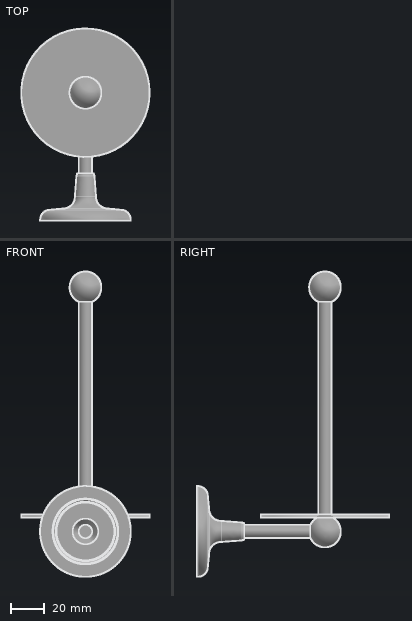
import cadquery as cq

disc_radius = 38.1
wall_offset = 114 - disc_radius
rod_radius = 4.0
ball_radius = 9.5
flange_radius = 27.0
upper_ball_height = 181 - flange_radius - ball_radius

disc_bottom = 8.1
disc_thickness = 2.0

rim_height = 0.7
rim_round_end = 6.5
rim_round_mid = (25.2, 4.9)
shoulder_radius = 22.5
flare_base = (13.4, 7.5)
flare_mid = (8.3, 9.5)
neck_base = (6.3, 14.5)
neck_tip = (5.5, 26.6)
collar_tip = (4.9, 28.2)

recess_depth = 5.6
recess_mouth_radius = 19.5
lip_radius = 19.0
lip_depth = 0.4
recess_base_radius = 17.65
recess_floor_radius = 17.1
floor_bevel = 0.4
funnel_radius = 7.6
funnel_end = 14.5


def make_rod(length):
    return cq.Workplane("XY").circle(rod_radius).extrude(length)


def make_disc():
    disc = cq.Workplane("XY").circle(disc_radius).extrude(disc_thickness)
    return disc.translate((0, 0, disc_bottom))


def make_ball(height):
    return cq.Workplane("XY").sphere(ball_radius).translate((0, 0, height))


def revolve_about_z(profile):
    """Turn a closed (radius, height) profile around the Z axis."""
    return profile.close().revolve(360, (0, 0, 0), (0, 1, 0))


def make_flange():
    """Wall flange with flared neck and recess, standing on the XY plane."""
    body = revolve_about_z(
        cq.Workplane("XZ")
        .moveTo(0, 0)
        .lineTo(flange_radius, 0)
        .lineTo(flange_radius, rim_height)
        .threePointArc(rim_round_mid, (shoulder_radius, rim_round_end))
        .lineTo(*flare_base)
        .threePointArc(flare_mid, neck_base)
        .lineTo(*neck_tip)
        .lineTo(*collar_tip)
        .lineTo(0, collar_tip[1])
    )
    recess = revolve_about_z(
        cq.Workplane("XZ")
        .moveTo(0, 0)
        .lineTo(recess_mouth_radius, 0)
        .lineTo(lip_radius, lip_depth)
        .lineTo(recess_base_radius, recess_depth - floor_bevel)
        .lineTo(recess_floor_radius, recess_depth)
        .lineTo(funnel_radius, recess_depth)
        .lineTo(rod_radius, funnel_end)
        .lineTo(0, funnel_end)
    )
    return body.cut(recess)


arm = make_flange().union(make_rod(wall_offset))
arm = arm.rotate((0, 0, 0), (1, 0, 0), -90).translate((0, -wall_offset, 0))

result = (
    make_rod(upper_ball_height)
    .union(make_disc())
    .union(make_ball(0))
    .union(make_ball(upper_ball_height))
    .union(arm)
)